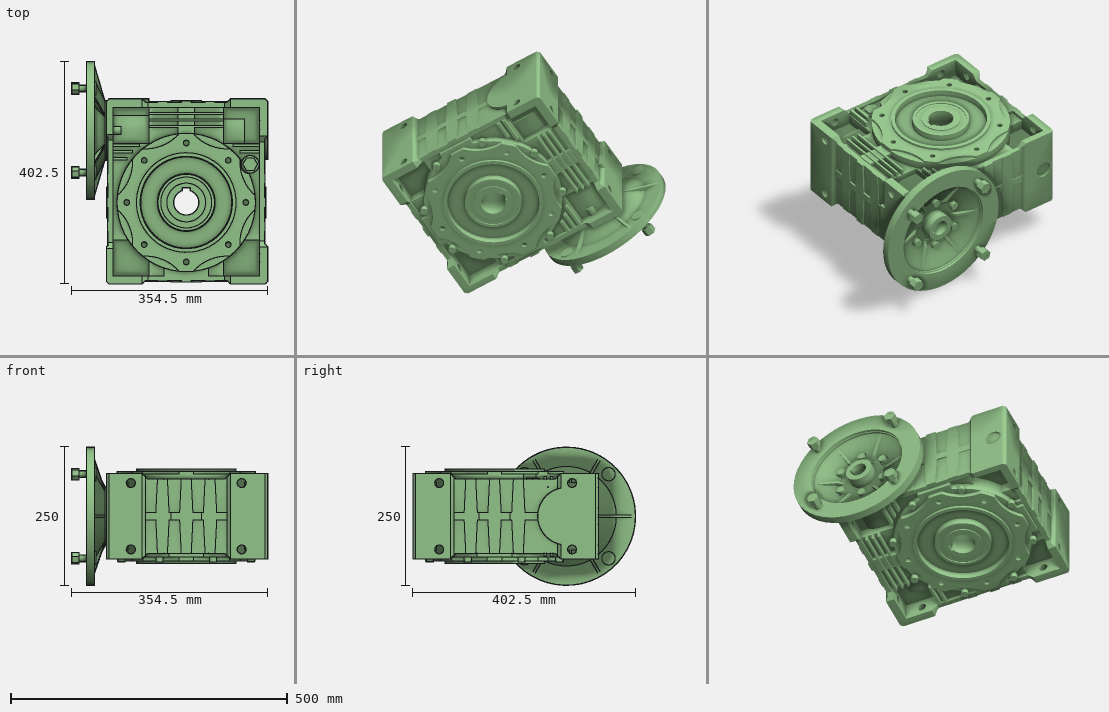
import cadquery as cq
import math

center_distance = 130.0
half_side = 147.5
far_side = half_side + 40.0
flange_seat_x = -144.5
seat_cut = half_side + flange_seat_x
half_height = 77.5
corner_chamfer = 5.0
wall_inside = 132.5
far_wall_inside = wall_inside + far_side - half_side - 1.0
foot_length = 67.5
window_half = half_side - foot_length
window_depth = 6.5
window_slope = 6.5
wall_half_height = 67.0
deck_z = 61.0
pocket_z = 42.0
pocket_edge = 67.5
far_pocket_edge = 107.0
foot_hole_diameter = 16.0
foot_hole_z = 60.0
side_lug_half_height = 15.0
foot_hole_inset = 20.0
sight_glass_y = -123.5
sight_glass_radius = 15.0
sight_glass_depth = 4.0
sight_glass_chamfer = 1.2

bar_pitch = 43.0
bar_half_width_mid = 12.3
bar_half_width_end = 9.0
outer_bar_height = 1.5
center_bar_height = 3.0
cross_half_height = 7.0
center_cross_half_length = 28.0

disc_radius = 125.0
disc_top = 81.0
scallop_z = 76.5
cover_radius = 124.5
cover_z = 73.5
scallop_count = 8
scallop_radius = 81.0
scallop_center_radius = 192.5
ring_radius = 90.0
ring_inner_radius = 83.5
face_z = 85.5
recess_z = 73.5
hub_radius = 51.0
recess_draft = 1.2
seal_radius = 46.0
seal_depth = 2.0
flange_hole_circle = 215.0
flange_hole_diameter = 10.2
flange_hole_depth = 25.0
drill_point_depth = 3.0

fin_top = 72.0
fin_width = 3.5
fin_pitch = 12.0
fin_count = 3
first_far_fin_y = 161.0
far_fin_half_length = pocket_edge
web_half_width = 15.0
web_top = 69.0
side_fin_width = 4.8
side_fins = ((103.4, 84.5), (91.6, 97.0))
input_side_fin = (79.0, 107.5)
tab_half_width = 40.0
lower_tab_half_width = 31.5
input_bearing_radius = 50.0
end_bearing_radius = 47.0
end_bearing_x = 105.0
input_cover_radius = 53.0
end_cover_radius = 52.0
flange_screw_circle_radius = 47.3
screw_boss_radius = 8.0
screw_boss_x = -118.0

plug_x = 115.5
plug_y = 69.0
plug_collar_radius = 16.0
plug_collar_top = 65.0
plug_clearance_radius = 17.0
plug_hex_corners = 26.7
plug_top = 69.0
cover_screw_radius = 126.6
cover_screw_diameter = 13.0
cover_screw_bottom = -82.5

output_shaft_radius = 35.0
output_bore_radius = 22.5
output_key_width = 14.0
output_key_height = 26.3
worm_radius = 25.0
worm_tip_x = -172.0
worm_end_x = -90.0
worm_bore_radius = 14.5
worm_bore_depth = 60.0
worm_key_width = 8.0
worm_key_height = 17.5

flange_radius = 125.0
flange_front_x = -180.5
flange_thickness = 15.0
flange_back_x = flange_front_x + flange_thickness
spigot_radius = 90.0
spigot_depth = 5.0
lip_radius = 88.5
lip_depth = 4.0
spigot_x = flange_front_x + spigot_depth
lip_x = spigot_x + lip_depth
cone_mouth_radius = 87.0
flange_floor_x = -151.0
floor_radius = 46.5
neck_radius = 54.0
neck_x = -147.0
cone_back_radius = 90.0
seal_bore_radius = 35.0
seal_gap = 1.0
rib_count = 6
rib_width = 5.0
outer_rib_radius = 117.0
inner_rib_crest_radius = 47.0
inner_rib_foot_radius = 38.5
inner_rib_height = 8.0
screw_head_radius = 7.0
screw_head_length = 10.0
washer_radius = 7.6
washer_thickness = 2.5
screw_slot_width = 14.4
screw_slot_radius = 56.3
motor_bolt_circle = 215.0
motor_bolt_count = 4
motor_bolt_diameter = 12.5
motor_bolt_tip_x = -207.0
motor_nut_length = 13.5
motor_nut_corners = 22.0
motor_nut_dimple = 0.5
bolt_pad_radius = 12.0
bolt_pad_height = 2.5


def block(x0, x1, y0, y1, z0, z1):
    """Box given by its limits along each axis."""
    return cq.Workplane("XY").box(x1 - x0, y1 - y0, z1 - z0, centered=False).translate((x0, y0, z0))


def disc_z(radius, z0, z1, x=0.0, y=0.0):
    """Cylinder along Z."""
    return cq.Workplane("XY").workplane(offset=z0).center(x, y).circle(radius).extrude(z1 - z0)


def disc_x(radius, x0, x1, y=center_distance, z=0.0):
    """Cylinder along X, on the worm axis unless y and z say otherwise."""
    return cq.Workplane("YZ").workplane(offset=x0).center(y, z).circle(radius).extrude(x1 - x0)


def around_z(shape, angle):
    return shape.rotate((0, 0, 0), (0, 0, 1), angle)


def around_worm(shape, angle):
    return shape.rotate((0, center_distance, 0), (1, center_distance, 0), angle)


window_far = far_side - foot_length
sides = (
    (0, half_side, -window_half, window_half, True),
    (90, half_side, -window_half, window_far, True),
    (180, far_side, -window_half, window_half, True),
    (270, half_side, -window_far - seat_cut, window_half + seat_cut, False),
)


def window_cut(distance, start, end):
    """Sinks the wall between two feet and lowers its top and bottom edges."""
    sunk = distance - window_depth
    cut = (
        cq.Workplane("XY").workplane(offset=-half_height)
        .polyline([
            (start, -distance), (end, -distance),
            (end - window_slope, -sunk), (start + window_slope, -sunk),
        ]).close().extrude(2 * half_height)
    )
    step = half_height - wall_half_height
    notch = (
        cq.Workplane("XZ").workplane(offset=wall_inside - 2 * window_depth)
        .polyline([
            (start, half_height), (end, half_height),
            (end - step, wall_half_height), (start + step, wall_half_height),
        ]).close().extrude(distance - wall_inside + 2 * window_depth)
    )
    return cut.union(notch).union(notch.mirror("XY"))


def wall_bar(center, distance, height):
    """Raised upright bar, widest at mid height."""
    sunk = distance - window_depth
    return (
        cq.Workplane("XZ").workplane(offset=sunk)
        .polyline([
            (center - bar_half_width_end, -wall_half_height),
            (center + bar_half_width_end, -wall_half_height),
            (center + bar_half_width_mid, 0),
            (center + bar_half_width_end, wall_half_height),
            (center - bar_half_width_end, wall_half_height),
            (center - bar_half_width_mid, 0),
        ]).close().extrude(height)
    )


def wall_pattern(distance, start, end):
    """Three upright bars and the cross bars between them."""
    sunk = distance - window_depth
    z = cross_half_height
    inner = -sunk
    pattern = wall_bar(0, distance, center_bar_height)
    pattern = pattern.union(block(
        -center_cross_half_length, center_cross_half_length, inner - center_bar_height, inner, -z, z))
    for center in (-bar_pitch, bar_pitch):
        pattern = pattern.union(wall_bar(center, distance, outer_bar_height))
    for a, b in (
        (start + window_slope, -center_cross_half_length),
        (center_cross_half_length, end - window_slope),
    ):
        pattern = pattern.union(block(a, b, inner - outer_bar_height, inner, -z, z))
    return pattern


def foot_holes(distance, start, end):
    points = [
        (u, z)
        for u in (start - foot_hole_inset, end + foot_hole_inset)
        for z in (-foot_hole_z, foot_hole_z)
    ]
    inside = distance - half_side + wall_inside - 2 * window_depth
    return (
        cq.Workplane("XZ").workplane(offset=inside)
        .pushPoints(points).circle(foot_hole_diameter / 2).extrude(distance - inside)
    )


def upper_hollow():
    """Space above the sunk deck and in the four corner pockets."""
    hollow = block(-wall_inside, wall_inside, -wall_inside, far_wall_inside, deck_z, half_height)
    for x0, x1 in ((-wall_inside, -pocket_edge), (pocket_edge, wall_inside)):
        hollow = hollow.union(block(x0, x1, far_pocket_edge, far_wall_inside, pocket_z, half_height))
        hollow = hollow.union(block(x0, x1, -wall_inside, -pocket_edge, pocket_z, half_height))
    return hollow


def upper_ribs():
    """Fins, webs and bearing shapes that stand on the deck and in the pockets."""
    ribs = block(-tab_half_width, tab_half_width, -wall_inside, 0, 0, wall_half_height)
    ribs = ribs.union(block(-web_half_width, web_half_width, 0, far_wall_inside, 0, web_top))
    last_fin_y = first_far_fin_y - (fin_count - 1) * fin_pitch
    ribs = ribs.union(block(-web_half_width, web_half_width, 0, last_fin_y, 0, fin_top))
    for i in range(fin_count):
        y = first_far_fin_y - i * fin_pitch
        ribs = ribs.union(block(
            -far_fin_half_length, far_fin_half_length, y - fin_width / 2, y + fin_width / 2, 0, fin_top))
    half_width = side_fin_width / 2
    for y, inner_end in side_fins + (input_side_fin,):
        ribs = ribs.union(block(-wall_inside, -inner_end, y - half_width, y + half_width, 0, fin_top))
    for y, inner_end in side_fins:
        ribs = ribs.union(block(inner_end, wall_inside, y - half_width, y + half_width, 0, fin_top))
    bearings = (
        (-wall_inside, -pocket_edge, input_bearing_radius),
        (pocket_edge, end_bearing_x, end_bearing_radius),
    )
    for x0, x1, radius in bearings:
        ribs = ribs.union(disc_x(radius, x0, x1))
        ribs = ribs.union(block(x0, x1, far_pocket_edge, center_distance, 0, radius))
    ribs = ribs.union(disc_x(screw_boss_radius, -wall_inside, screw_boss_x, z=flange_screw_circle_radius))
    return ribs.intersect(block(-half_side, half_side, -half_side, far_side, 0, half_height))


def output_face(rim_radius, floor_z):
    """Scalloped output flange with its spigot ring, recess and hub."""
    face = disc_z(disc_radius, 0, floor_z).union(disc_z(rim_radius, 0, disc_top))
    for i in range(scallop_count):
        angle = math.radians((i + 0.5) * 360 / scallop_count)
        face = face.cut(disc_z(
            scallop_radius, floor_z, disc_top,
            scallop_center_radius * math.cos(angle), scallop_center_radius * math.sin(angle)))
    face = face.union(disc_z(ring_radius, 0, face_z))
    recess = (
        cq.Workplane("XZ")
        .polyline([
            (hub_radius, face_z), (ring_inner_radius, face_z),
            (ring_inner_radius - recess_draft, recess_z), (hub_radius + recess_draft, recess_z),
        ]).close().revolve(360, (0, 0, 0), (0, 1, 0))
    )
    face = face.cut(recess)
    face = face.cut(disc_z(seal_radius, face_z - seal_depth, face_z))
    holes = (
        cq.Workplane("XY").workplane(offset=disc_top - flange_hole_depth)
        .polarArray(flange_hole_circle / 2, 0, 360, scallop_count)
        .circle(flange_hole_diameter / 2).extrude(flange_hole_depth)
    )
    point = cq.Solid.makeCone(0, flange_hole_diameter / 2, drill_point_depth)
    points = (
        cq.Workplane("XY").workplane(offset=disc_top - flange_hole_depth - drill_point_depth)
        .polarArray(flange_hole_circle / 2, 0, 360, scallop_count)
        .eachpoint(lambda place: point.moved(place))
    )
    return face.cut(holes).cut(points)


def lower_tabs():
    """Tabs under the lower deck that join the output flange to the -X, +X and -Y walls."""
    half = lower_tab_half_width
    along_x = block(-wall_inside, wall_inside, -half, half, -cover_z, 0)
    return along_x.union(block(-half, half, -wall_inside, 0, -cover_z, 0))


def filler_plug():
    plug = disc_z(plug_collar_radius, 0, plug_collar_top, plug_x, plug_y)
    hexagon = cq.Workplane("XY").center(plug_x, plug_y).polygon(6, plug_hex_corners).extrude(plug_top)
    return plug.union(hexagon)


def cover_screws():
    """Screw heads in the scallops of the lower output flange."""
    return (
        cq.Workplane("XY").workplane(offset=cover_screw_bottom)
        .polarArray(cover_screw_radius, 180 / scallop_count, 360, scallop_count)
        .circle(cover_screw_diameter / 2).extrude(-cover_z - cover_screw_bottom)
    )


def make_housing():
    body = block(-half_side, half_side, -half_side, far_side, -half_height, half_height)
    body = body.intersect(block(flange_seat_x, half_side, -half_side, far_side, -half_height, half_height))
    body = body.edges("|Z").chamfer(corner_chamfer)
    for angle, distance, start, end, bolted in sides:
        body = body.cut(around_z(window_cut(distance, start, end), angle))
        body = body.union(around_z(wall_pattern(distance, start, end), angle))
    hollow = upper_hollow()
    body = body.cut(hollow).cut(hollow.mirror("XY"))
    ribs = upper_ribs()
    body = body.union(ribs).union(ribs.mirror("XY")).union(lower_tabs())
    body = body.union(output_face(disc_radius, scallop_z))
    body = body.union(output_face(cover_radius, cover_z).mirror("XY"))
    for angle, distance, start, end, bolted in sides:
        if bolted:
            body = body.cut(around_z(foot_holes(distance, start, end), angle))
    body = body.union(disc_x(input_cover_radius, flange_seat_x, -wall_inside))
    body = body.union(disc_x(end_cover_radius, wall_inside, half_side))
    body = body.cut(disc_z(plug_clearance_radius, deck_z, disc_top, plug_x, plug_y))
    body = body.union(filler_plug()).union(cover_screws())
    glass = disc_x(sight_glass_radius, flange_seat_x, flange_seat_x + sight_glass_depth, sight_glass_y)
    body = body.cut(glass.faces(">X").chamfer(sight_glass_chamfer))
    body = body.union(block(
        -window_half, -pocket_edge, far_wall_inside, far_side, -side_lug_half_height, side_lug_half_height))
    body = body.union(disc_x(seal_bore_radius, flange_floor_x + seal_gap, flange_seat_x))
    body = body.cut(disc_x(worm_radius, flange_floor_x, worm_end_x))
    return body.cut(disc_z(output_shaft_radius, -face_z, face_z))


def make_output_shaft():
    """Hollow shaft with a keyway."""
    shaft = disc_z(output_shaft_radius, -face_z, face_z)
    shaft = shaft.cut(disc_z(output_bore_radius, -face_z, face_z))
    half_key = output_key_width / 2
    return shaft.cut(block(-half_key, half_key, 0, output_key_height, -face_z, face_z))


def make_worm_shaft():
    """Hollow input end of the worm, with a keyway."""
    bore_end = worm_tip_x + worm_bore_depth
    shaft = disc_x(worm_radius, worm_tip_x, worm_end_x)
    shaft = shaft.cut(disc_x(worm_bore_radius, worm_tip_x, bore_end))
    key = block(
        worm_tip_x, bore_end, center_distance, center_distance + worm_key_height,
        -worm_key_width / 2, worm_key_width / 2)
    return shaft.cut(key)


def revolved(points):
    """Solid of revolution about the worm axis from (x, radius) points."""
    return (
        cq.Workplane("XY").polyline(points).close().revolve(360, (0, 0, 0), (1, 0, 0))
        .translate((0, center_distance, 0))
    )


def flange_rib():
    """Rib that shows on both the back and the inside of the cone, in the +Y direction."""
    points = [
        (flange_back_x, outer_rib_radius),
        (neck_x, neck_radius),
        (flange_floor_x, inner_rib_foot_radius),
        (flange_floor_x - inner_rib_height, inner_rib_crest_radius),
        (lip_x, cone_mouth_radius),
    ]
    return (
        cq.Workplane("XY").polyline(points).close().extrude(rib_width / 2, both=True)
        .translate((0, center_distance, 0))
    )


def motor_bolt():
    """Bolt and nut through the flange, with a pad on the back, placed in the +Y direction."""
    nut = cq.Workplane("YZ").polygon(6, motor_nut_corners).extrude(motor_nut_length)
    nut = nut.cut(cq.Workplane("YZ").circle(motor_bolt_diameter / 2).extrude(motor_nut_dimple))
    y = center_distance + motor_bolt_circle / 2
    nut = nut.translate((motor_bolt_tip_x, y, 0))
    shank = disc_x(motor_bolt_diameter / 2, motor_bolt_tip_x + motor_nut_length, flange_back_x, y)
    pad = disc_x(bolt_pad_radius, flange_back_x, flange_back_x + bolt_pad_height, y)
    return nut.union(shank).union(pad)


def make_motor_flange():
    flange = revolved([
        (flange_front_x, spigot_radius), (flange_front_x, flange_radius),
        (flange_back_x, flange_radius), (flange_back_x, cone_back_radius),
        (neck_x, neck_radius), (flange_seat_x, neck_radius),
        (flange_seat_x, seal_bore_radius), (flange_floor_x, seal_bore_radius),
        (flange_floor_x, floor_radius), (lip_x, cone_mouth_radius), (lip_x, lip_radius),
        (spigot_x, lip_radius), (spigot_x, spigot_radius),
    ])
    for i in range(rib_count):
        flange = flange.union(around_worm(flange_rib(), i * 360 / rib_count))
    slot = block(
        flange_front_x, flange_floor_x,
        center_distance - screw_slot_width / 2, center_distance + screw_slot_width / 2,
        flange_screw_circle_radius, screw_slot_radius)
    head = disc_x(
        screw_head_radius, flange_floor_x - screw_head_length, flange_floor_x, z=flange_screw_circle_radius)
    head = head.union(disc_x(
        washer_radius, flange_floor_x - washer_thickness, flange_floor_x, z=flange_screw_circle_radius))
    for i in range(rib_count):
        angle = i * 360 / rib_count
        flange = flange.cut(around_worm(slot, angle)).union(around_worm(head, angle))
    for i in range(motor_bolt_count):
        angle = (i + 0.5) * 360 / motor_bolt_count
        flange = flange.union(around_worm(motor_bolt(), angle))
    return flange


housing = make_housing()
output_shaft = make_output_shaft()
worm_shaft = make_worm_shaft()
motor_flange = make_motor_flange()

result = cq.Compound.makeCompound([
    housing.val(),
    output_shaft.val(),
    worm_shaft.val(),
    motor_flange.val(),
])